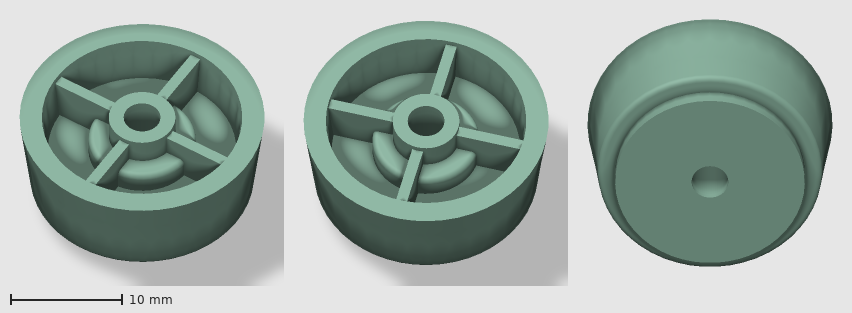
import cadquery as cq

total_height = 10.0
layer_thickness = 0.2
cup_bottom = 1.5
floor_level = 5.5
collar_top = 7.5
rib_drop = 0.5

rim_radius = 11.0
base_radius = 10.0
rim_width = 2.0
pad_radius = 8.51
collar_radius = 4.82
hub_radius = 3.0
bore_radius = 1.65

rib_width = 1.01
edge_round = 0.5

wall_slope = (rim_radius - base_radius) / (total_height - cup_bottom)
cavity_rim_radius = rim_radius - rim_width
cavity_floor_radius = cavity_rim_radius - wall_slope * (total_height - floor_level)


def cylinder(radius, bottom, top):
    """Upright cylinder on the Z axis between two levels."""
    return cq.Workplane("XY").workplane(offset=bottom).circle(radius).extrude(top - bottom)


def cone(bottom_radius, top_radius, bottom, top):
    """Upright truncated cone on the Z axis between two levels."""
    outline = [(0, bottom), (bottom_radius, bottom), (top_radius, top), (0, top)]
    return cq.Workplane("XZ").polyline(outline).close().revolve(360, (0, 0, 0), (0, 1, 0))


def disc(bottom, top):
    """Flat round layer with the through bore."""
    return cylinder(pad_radius, bottom, top).cut(cylinder(bore_radius, bottom, top))


def make_ribs(cavity):
    """Cross of ribs from wall to wall, ending on the tapered cavity wall."""
    rib_height = total_height - rib_drop - floor_level
    base = cq.Workplane("XY").workplane(offset=floor_level)
    length = 2 * rim_radius
    along_x = base.rect(length, rib_width).extrude(rib_height)
    along_y = base.rect(rib_width, length).extrude(rib_height)
    return along_x.union(along_y).intersect(cavity)


def make_cup():
    """Tapered cup with a central hub, a rounded collar around it and four ribs."""
    outside = cone(base_radius, rim_radius, cup_bottom, total_height)
    outside = outside.faces("<Z").edges().fillet(edge_round)
    cavity = cone(cavity_floor_radius, cavity_rim_radius, floor_level, total_height)

    collar = cylinder(collar_radius, floor_level, collar_top)
    collar = collar.faces(">Z").edges().fillet(edge_round)
    hub = cylinder(hub_radius, floor_level, total_height)
    bore = cylinder(bore_radius, cup_bottom, total_height)

    cup = outside.cut(cavity).union(collar).union(hub)
    return cup.union(make_ribs(cavity)).cut(bore)


cup = make_cup()
pad = disc(layer_thickness, cup_bottom)
adhesive_layer = disc(0, layer_thickness)

result = cq.Compound.makeCompound([cup.val(), pad.val(), adhesive_layer.val()])